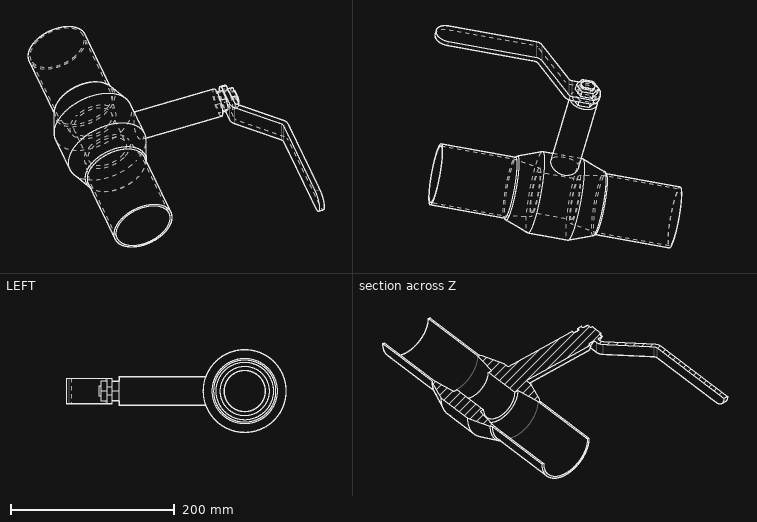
import cadquery as cq
import math

total_length = 350.0
pipe_length = 300.0
pipe_diameter = 76.0
pipe_bore = 70.5
seat_diameter = 60.2
ball_bore = 50.0
housing_diameter = 101.5
housing_flat_length = 50.0
housing_length = 113.5
housing_end_diameter = 79.8
collar_bevel = 2.0

neck_diameter = 35.0
neck_top = 153.5
nut_across_corners = 28.0
spindle_diameter = 16.8
spindle_top = 178.0
spindle_across_flats = 12.2

lever_width = 31.0
lever_thickness = 6.3
lever_bottom = 162.0
lever_top = 218.0
lever_eye_radius = 18.2
lever_eye_reach = 17.5
crank_start = 23.0
crank_end = 72.0
inner_bend_radius = 5.2
nut_height = 7.5

lever_upper_face = lever_bottom + lever_thickness
middle = pipe_length / 2
grip_end = total_length - middle


def cylinder_y(diameter, start, end):
    """Cylinder along Y, centred on the spindle."""
    return cq.Workplane("XZ", origin=(0, start, 0)).circle(diameter / 2).extrude(start - end)


def hex_y(start, end):
    """Hexagon along Y with two corners pointing along X."""
    return cq.Workplane("XZ", origin=(0, start, 0)).polygon(6, nut_across_corners).extrude(start - end)


def make_body():
    """Pipe ends and swollen housing as one turned solid."""
    half_flat = housing_flat_length / 2
    half_housing = housing_length / 2
    return (
        cq.Workplane("XY")
        .moveTo(-middle, 0)
        .lineTo(-middle, pipe_diameter / 2)
        .lineTo(-half_housing, pipe_diameter / 2)
        .lineTo(-half_housing + collar_bevel, housing_end_diameter / 2)
        .lineTo(-half_flat, housing_diameter / 2)
        .lineTo(half_flat, housing_diameter / 2)
        .lineTo(half_housing - collar_bevel, housing_end_diameter / 2)
        .lineTo(half_housing, pipe_diameter / 2)
        .lineTo(middle, pipe_diameter / 2)
        .lineTo(middle, 0)
        .close()
        .revolve(360, (0, 0, 0), (1, 0, 0))
    )


def make_passage():
    """Pipe bores narrowing through cones to the bore of the ball."""
    cone_start = housing_length / 2
    cone_end = housing_flat_length / 2
    return (
        cq.Workplane("XY")
        .moveTo(-middle, 0)
        .lineTo(-middle, pipe_bore / 2)
        .lineTo(-cone_start, pipe_bore / 2)
        .lineTo(-cone_end, seat_diameter / 2)
        .lineTo(-cone_end, ball_bore / 2)
        .lineTo(cone_end, ball_bore / 2)
        .lineTo(cone_end, seat_diameter / 2)
        .lineTo(cone_start, pipe_bore / 2)
        .lineTo(middle, pipe_bore / 2)
        .lineTo(middle, 0)
        .close()
        .revolve(360, (0, 0, 0), (1, 0, 0))
    )


def make_lever():
    """Flat bar with a sloping crank, a round eye and a round grip end."""
    crank_angle = math.atan2(lever_top - lever_thickness - lever_bottom, crank_end - crank_start)
    miter = lever_thickness * math.tan(crank_angle / 2)
    profile = (
        cq.Workplane("XY")
        .moveTo(-lever_eye_reach, lever_bottom)
        .lineTo(crank_start, lever_bottom)
        .lineTo(crank_end, lever_top - lever_thickness)
        .lineTo(grip_end, lever_top - lever_thickness)
        .lineTo(grip_end, lever_top)
        .lineTo(crank_end - miter, lever_top)
        .lineTo(crank_start - miter, lever_upper_face)
        .lineTo(-lever_eye_reach, lever_upper_face)
        .close()
        .extrude(lever_width / 2, both=True)
    )
    outer_bend_radius = inner_bend_radius + lever_thickness
    bends = (
        (crank_start, lever_bottom, outer_bend_radius),
        (crank_start - miter, lever_upper_face, inner_bend_radius),
        (crank_end, lever_top - lever_thickness, inner_bend_radius),
        (crank_end - miter, lever_top, outer_bend_radius),
    )
    for x, y, radius in bends:
        corner = cq.selectors.NearestToPointSelector((x, y, 0))
        profile = profile.edges("|Z").edges(corner).fillet(radius)

    grip_radius = lever_width / 2
    grip_center = grip_end - grip_radius
    eye = cylinder_y(2 * lever_eye_radius, 0, lever_top)
    grip = cylinder_y(lever_width, 0, lever_top).translate((grip_center, 0, 0))
    bar = cq.Workplane("XY").box(grip_center, lever_top, lever_width, centered=(False, False, True))
    return profile.intersect(eye.union(bar).union(grip))


def make_spindle():
    """Round spindle end with two parallel flats facing up and down."""
    flats = cq.Workplane("XY").box(spindle_diameter, 2 * spindle_top, spindle_across_flats)
    return cylinder_y(spindle_diameter, neck_top, spindle_top).intersect(flats)


result = (
    make_body()
    .union(cylinder_y(neck_diameter, 0, neck_top))
    .cut(make_passage())
    .union(hex_y(neck_top, lever_bottom))
    .union(make_lever())
    .union(hex_y(lever_upper_face, lever_upper_face + nut_height))
    .union(make_spindle())
)